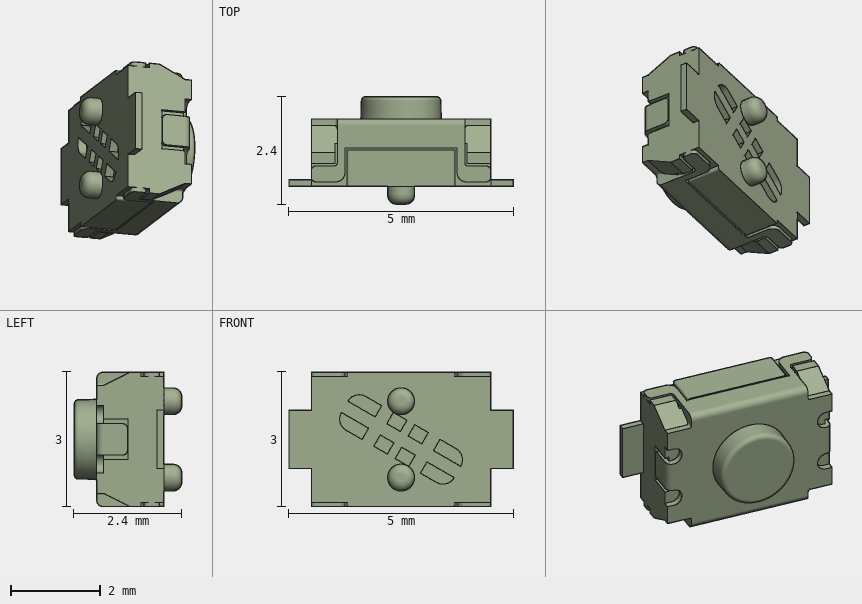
import cadquery as cq
import math

body_length = 4.0
body_depth = 1.5
body_height = 3.0
half_length = body_length / 2
half_height = body_height / 2

tab_span = 5.0
tab_height = 1.3
tab_thickness = 0.15

sheet = 0.1
core_half_height = half_height - sheet
cover_half_width = 1.42
cover_front = 0.85
cover_bend_radius = 0.15
leg_inner = 1.25
foot_front = 0.1
foot_back = 0.45
leg_bend_radius = 0.2
foot_corner_radius = 0.1
foot_notch_radius = 0.075

pad_half_width = 1.2
pad_depth = 0.81
pad_edge_radius = 0.05

gap = 0.05
step_front = 0.51
slope_front = 0.75
slope_back = 1.35
corner_half_height = 1.2
corner_fillet = 0.05

clip_half_width = 0.35
clip_front = 0.815
clip_corner_radius = 0.1
pocket_half_width = 0.45
pocket_front = 0.8
bend_depth = 0.15
relief_radius = 0.2
relief_straight = 0.15

button_radius = 0.9
button_tip_radius = 0.885
button_height = 0.5
button_edge_radius = 0.1
peg_radius = 0.3
peg_length = 0.4
peg_round = 0.2
peg_offset = 0.85

pattern_angle = -30.0
pattern_depth = 0.2
row_inner = 0.145
row_outer = 0.435
window_start = 0.1
window_end = 0.45
bullet_start = 0.75
bullet_end = 1.45

SIDES = (1, -1)


def block(x_range, y_range, z_range):
    """Box spanning the given (low, high) ranges."""
    lows, highs = zip(x_range, y_range, z_range)
    sizes = [high - low for low, high in zip(lows, highs)]
    return cq.Workplane("XY").box(*sizes, centered=False).translate(lows)


def in_each_corner(shape):
    """Four copies of a shape made in the +X, +Z corner."""
    pair = shape.union(shape.mirror("YZ"))
    return pair.union(pair.mirror("XY"))


def on_both_ends(shape):
    return shape.union(shape.mirror("YZ"))


def make_cover_half():
    """Right half of the upper sheet: a strip, a leg and an outward foot."""
    cover = (
        cq.Workplane("XY")
        .workplane(offset=core_half_height)
        .moveTo(0, cover_front)
        .lineTo(leg_inner, cover_front)
        .lineTo(leg_inner, foot_front)
        .lineTo(half_length, foot_front)
        .lineTo(half_length, foot_back)
        .lineTo(cover_half_width, foot_back)
        .lineTo(cover_half_width, body_depth)
        .lineTo(0, body_depth)
        .close()
        .extrude(sheet)
    )

    def upright_edge(x, y):
        reach = 0.005
        low = (x - reach, y - reach, 0)
        high = (x + reach, y + reach, body_height)
        return cq.selectors.BoxSelector(low, high)

    cover = cover.edges(upright_edge(leg_inner, foot_front)).fillet(leg_bend_radius)
    cover = cover.edges(upright_edge(cover_half_width, foot_back)).fillet(foot_notch_radius)
    for y in (foot_front, foot_back):
        cover = cover.edges(upright_edge(half_length, y)).fillet(foot_corner_radius)
    return cover


def make_pad():
    pad = block((-pad_half_width, pad_half_width), (0, pad_depth), (0, half_height))
    return pad.edges("|Y and >Z").fillet(pad_edge_radius)


def make_corner_cut():
    """Sloped clearance beside the cover, rounded along its inner edge."""
    space = block(
        (cover_half_width, half_length), (0, body_depth), (corner_half_height, half_height)
    ).edges("|Y and <X and <Z").fillet(corner_fillet)
    wedge = (
        cq.Workplane("YZ")
        .polyline([
            (slope_front, half_height),
            (slope_back, corner_half_height),
            (body_depth, corner_half_height),
            (body_depth, half_height),
        ])
        .close()
        .extrude(half_length)
    )
    return space.intersect(wedge)


def make_body():
    body = block(
        (-half_length, half_length), (0, body_depth), (-core_half_height, core_half_height)
    )
    step = block(
        (cover_half_width + gap, half_length), (step_front, body_depth), (0, half_height)
    )
    pad = make_pad()
    body = body.union(in_each_corner(make_cover_half()))
    body = body.union(in_each_corner(step))
    body = body.union(pad).union(pad.mirror("XY"))
    body = body.cut(in_each_corner(make_corner_cut()))
    for side in (">Z", "<Z"):
        body = body.edges("|X").edges(">Y").edges(side).fillet(cover_bend_radius)
    return body


def add_end_clips(body):
    clip_inner = half_length - sheet
    relief_length = relief_straight + relief_radius
    bend_inner = half_length - relief_length
    bend_front = body_depth - bend_depth
    pocket = block(
        (clip_inner, half_length),
        (pocket_front, bend_front),
        (-pocket_half_width, pocket_half_width),
    )
    bend_space = block(
        (bend_inner, half_length), (bend_front, body_depth), (-clip_half_width, clip_half_width)
    )
    relief_offset = clip_half_width + relief_radius
    reliefs = (
        cq.Workplane("XZ")
        .workplane(offset=-body_depth)
        .pushPoints([(half_length, side * relief_offset) for side in SIDES])
        .slot2D(2 * relief_length, 2 * relief_radius)
        .extrude(bend_depth)
    )
    clip = block(
        (bend_inner, half_length), (clip_front, body_depth), (-clip_half_width, clip_half_width)
    )
    clip = clip.edges("|Z and >X and >Y").fillet(cover_bend_radius)
    clip = clip.edges("|X and <Y").fillet(clip_corner_radius)
    for cutter in (pocket, bend_space, reliefs):
        body = body.cut(on_both_ends(cutter))
    return body.union(on_both_ends(clip))


def make_pattern():
    """Quarter of the pattern, repeated by mirroring, then turned."""
    sketch = cq.Workplane("XZ")
    window = sketch.moveTo(window_start, row_inner)
    window = window.lineTo(window_end, row_inner)
    window = window.lineTo(window_end, row_outer)
    window = window.lineTo(window_start, row_outer)
    window = window.close().extrude(-pattern_depth)
    nose_radius = row_outer - row_inner
    nose_center = bullet_end - nose_radius
    diagonal = nose_radius * math.sqrt(0.5)
    bullet = (
        sketch.moveTo(bullet_start, row_inner)
        .lineTo(bullet_end, row_inner)
        .threePointArc((nose_center + diagonal, row_inner + diagonal), (nose_center, row_outer))
        .lineTo(bullet_start, row_outer)
        .close()
        .extrude(-pattern_depth)
    )
    pattern = in_each_corner(window.union(bullet))
    return pattern.rotate((0, 0, 0), (0, 1, 0), -pattern_angle)


def make_button():
    base = cq.Workplane("XZ").workplane(offset=-body_depth)
    taper = math.degrees(math.atan((button_radius - button_tip_radius) / button_height))
    button = base.circle(button_radius).extrude(-button_height, taper=taper)
    return button.faces(">Y").edges().fillet(button_edge_radius)


def make_peg(z):
    peg = cq.Workplane("XZ").center(0, z).circle(peg_radius).extrude(peg_length)
    return peg.faces("<Y").edges().fillet(peg_round)


solder_tabs = block(
    (-tab_span / 2, tab_span / 2), (0, tab_thickness), (-tab_height / 2, tab_height / 2)
)

result = add_end_clips(make_body())
result = result.union(solder_tabs)
result = result.cut(make_pattern())
result = result.union(make_button())
for side in SIDES:
    result = result.union(make_peg(side * peg_offset))